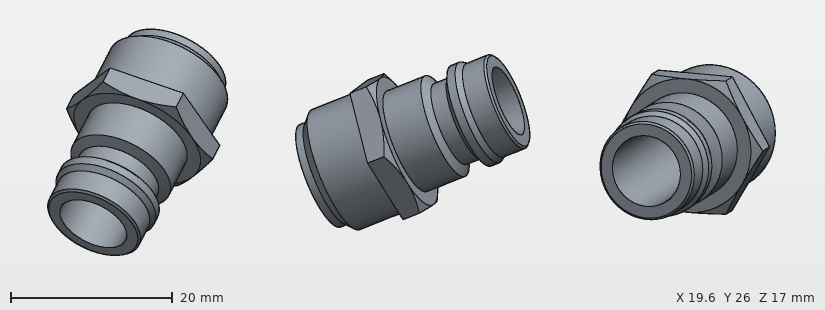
import cadquery as cq
import math

length = 26.0
bore_diameter = 9.0
hex_across_flats = 17.0
hex_start = 14.0
hex_end = 17.0
hex_chamfer_angle = 30.0

nose_radius = 6.25
nose_chamfer = 0.25
nose_end = 3.22
body_radius = 6.7
collar_start = 4.0
collar_end = 5.15
neck_radius = 5.4
neck_start = 5.9
neck_end = 8.0
body_start = 8.74

shank_radius = 8.0
shank_end = 23.82
tail_radius = 6.85
tail_start = 24.95


def revolve_about_y(points):
    """Turn a closed (radius, y) outline about the Y axis."""
    return cq.Workplane("XY").polyline(points).close().revolve(360, (0, 0, 0), (0, 1, 0))


def turned_body():
    return revolve_about_y([
        (0, 0),
        (nose_radius - nose_chamfer, 0),
        (nose_radius, nose_chamfer),
        (nose_radius, nose_end),
        (body_radius, collar_start),
        (body_radius, collar_end),
        (neck_radius, neck_start),
        (neck_radius, neck_end),
        (body_radius, body_start),
        (body_radius, hex_start),
        (shank_radius, hex_start),
        (shank_radius, shank_end),
        (tail_radius, tail_start),
        (tail_radius, length),
        (0, length),
    ])


def hex_flange():
    """Hexagon with corners on X, its nose-side corners cut by a cone."""
    flat_radius = hex_across_flats / 2
    corner_radius = flat_radius / math.cos(math.radians(30))
    cone_depth = (corner_radius - flat_radius) * math.tan(math.radians(hex_chamfer_angle))
    prism = (
        cq.Workplane("XZ", origin=(0, hex_start, 0))
        .polygon(6, 2 * corner_radius)
        .extrude(hex_start - hex_end)
    )
    envelope = revolve_about_y([
        (0, hex_start),
        (flat_radius, hex_start),
        (corner_radius, hex_start + cone_depth),
        (corner_radius, hex_end),
        (0, hex_end),
    ])
    return prism.intersect(envelope)


bore = cq.Workplane("XZ").circle(bore_diameter / 2).extrude(-length)

result = turned_body().union(hex_flange()).cut(bore)